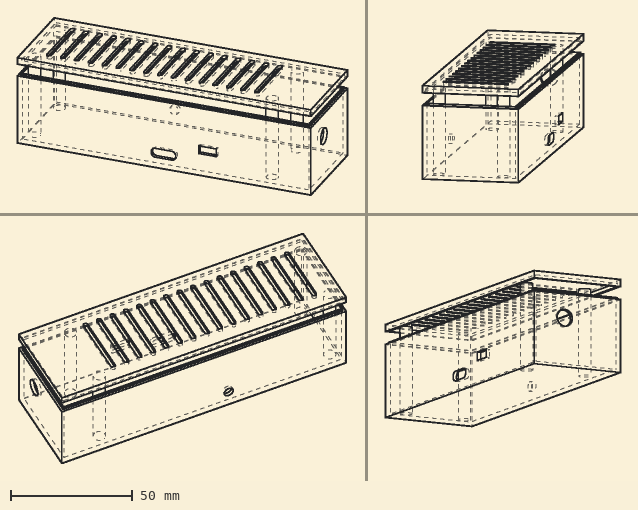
import cadquery as cq
length = 129.8
width = 40.2
total_height = 39.0

box_height = 30.6
wall = 1.5
floor_thickness = wall
lip_inset = 1.0
lip_height = 0.8

lid_thickness = 3.0
recess_depth = 1.5
lid_bottom = total_height - lid_thickness
recess_top = lid_bottom + recess_depth

post_diameter = 5.0
post_start_x = 4.7
post_start_y = 7.1
post_pitch_x = 105.1
post_pitch_y = 27.0

slot_count = 16
slot_width = 2.0
slot_length = 27.3
slot_start_x = 11.0
slot_span = 91.9
slot_pitch = slot_span / (slot_count - 1)
slot_center_y = width / 2

oval_x = 64.6
oval_z = 6.7
oval_length = 11.0
oval_height = 4.0

rect_x = 84.1
rect_z = 11.7
rect_length = 7.8
rect_height = 3.5

side_port_diameter = 7.0
side_port_y = 14.3
side_port_z = 20.5

rear_port_diameter = 4.0
rear_port_x = 53.6
rear_port_z = 7.4


def inset_block(inset, bottom, top):
    """A block set back from the outer sides by `inset`, between two heights."""
    block = cq.Workplane("XY").box(
        length - 2 * inset, width - 2 * inset, top - bottom, centered=False
    )
    return block.translate((inset, inset, bottom))


def make_posts():
    corners = [
        (post_start_x + column * post_pitch_x, post_start_y + row * post_pitch_y)
        for column in range(2)
        for row in range(2)
    ]
    floor_plane = cq.Workplane("XY", origin=(0, 0, floor_thickness))
    return floor_plane.pushPoints(corners).circle(post_diameter / 2).extrude(recess_top - floor_thickness)


def make_ports():
    """Cutters for the wall openings, each one wall thick."""
    front = cq.Workplane("XZ")
    oval = front.center(oval_x, oval_z).slot2D(oval_length, oval_height).extrude(-wall)
    rect = front.center(rect_x, rect_z).rect(rect_length, rect_height).extrude(-wall)

    rear = cq.Workplane("XZ", origin=(0, width - wall, 0))
    rear_port = rear.center(rear_port_x, rear_port_z).circle(rear_port_diameter / 2).extrude(-wall)

    side = cq.Workplane("YZ", origin=(length - wall, 0, 0))
    side_port = side.center(side_port_y, side_port_z).circle(side_port_diameter / 2).extrude(wall)
    return [oval, rect, rear_port, side_port]


def make_box():
    rim_top = box_height + lip_height
    box = inset_block(0, 0, box_height)
    box = box.union(inset_block(lip_inset, box_height, rim_top))
    box = box.cut(inset_block(wall, floor_thickness, rim_top))
    for port in make_ports():
        box = box.cut(port)
    return box.union(make_posts())


def make_vent_slots():
    centers = [(slot_start_x + i * slot_pitch, slot_center_y) for i in range(slot_count)]
    slots = cq.Workplane("XY", origin=(0, 0, lid_bottom)).pushPoints(centers)
    return slots.slot2D(slot_length, slot_width, 90).extrude(lid_thickness)


def make_lid():
    plate = inset_block(0, lid_bottom, total_height)
    recess = inset_block(lip_inset, lid_bottom, recess_top)
    return plate.cut(recess).cut(make_vent_slots())


box = make_box()
lid = make_lid()
result = cq.Compound.makeCompound([box.val(), lid.val()])